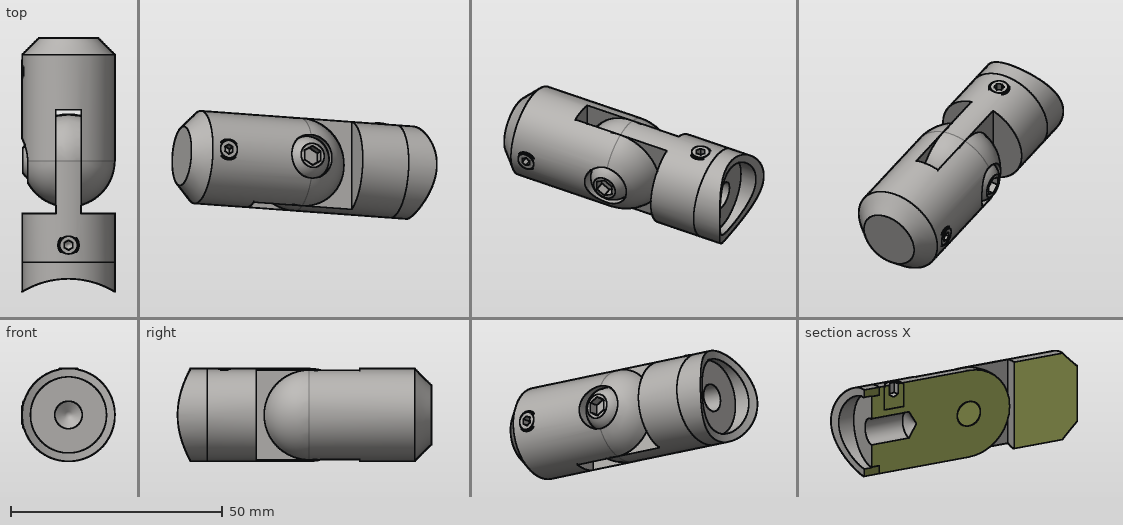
import cadquery as cq
import math


body_radius = 11.0
body_diameter = 2 * body_radius
tongue_thickness = 6.0

fork_length = 29.0
fork_chamfer = 4.0
fork_slot_bottom = 12.0
fork_set_screw_y = 21.0

tongue_shoulder_y = -12.5
tongue_end_y = -24.0
tongue_set_screw_y = -20.0
spigot_radius = 9.0
spigot_length = 2.0
spigot_end_y = tongue_end_y - spigot_length

tube_radius = 21.2
saddle_thickness = 4.0
tube_axis_y = tongue_end_y - saddle_thickness - tube_radius
saddle_tip_y = tube_axis_y + math.sqrt(tube_radius**2 - body_radius**2)

axial_hole_radius = 3.25
axial_hole_end_y = -16.0
drill_point_half_angle = math.radians(59)

pivot_head_radius = 5.25
pivot_head_flat_radius = 2.9
pivot_head_height = 3.3
pivot_head_face_x = -10.85
pivot_head_seat_x = pivot_head_face_x + pivot_head_height
pivot_shank_radius = 3.0
pivot_shank_length = 16.0
pivot_socket_width = 4.0
pivot_socket_depth = 2.5

set_screw_radius = 2.5
set_screw_face_radius = 2.1
set_screw_chamfer = set_screw_radius - set_screw_face_radius
set_screw_length = 6.0
set_screw_socket_width = 2.0
set_screw_socket_depth = 2.5


def corner_diameter(width_across_flats):
    return width_across_flats / math.cos(math.pi / 6)


def y_cylinder(radius, y_start, y_end):
    """Cylinder on the Y axis, from the higher y_start down to y_end."""
    return cq.Workplane("XZ", origin=(0, y_start, 0)).circle(radius).extrude(y_start - y_end)


def drill_point_depth(radius):
    return radius / math.tan(drill_point_half_angle)


def place_on_tongue(shape):
    """Moves a shape made along Z, with its outer face at Z = 0, onto the tongue's +Z side."""
    turned = shape.rotate((0, 0, 0), (0, 0, 1), 90)
    return turned.translate((0, tongue_set_screw_y, body_radius))


def place_on_fork(shape):
    """Moves a shape made along Z, with its outer face at Z = 0, onto the fork's -X side."""
    turned = shape.rotate((0, 0, 0), (0, 1, 0), -90)
    return turned.translate((-body_radius, fork_set_screw_y, 0))


def place_on_pivot(shape):
    """Turns a shape made along Z, with its head seat at Z = 0, so its head faces -X at the pivot."""
    turned = shape.rotate((0, 0, 0), (0, 1, 0), -90)
    return turned.translate((pivot_head_seat_x, 0, 0))


def make_set_screw_blank():
    return (
        cq.Workplane("XY")
        .circle(set_screw_radius)
        .extrude(-set_screw_length)
        .faces(">Z")
        .chamfer(set_screw_chamfer)
    )


def make_set_screw():
    """Set screw with a hexagon socket that ends in a drill point."""
    corner_radius = corner_diameter(set_screw_socket_width) / 2
    socket_tip_depth = set_screw_socket_depth + drill_point_depth(corner_radius)
    hexagon = cq.Workplane("XY").polygon(6, 2 * corner_radius).extrude(-socket_tip_depth)
    pointed_drill = (
        cq.Workplane("XZ")
        .lineTo(set_screw_radius, 0)
        .lineTo(set_screw_radius, drill_point_depth(set_screw_radius) - socket_tip_depth)
        .lineTo(0, -socket_tip_depth)
        .close()
        .revolve(360, (0, 0, 0), (0, 1, 0))
    )
    return make_set_screw_blank().cut(hexagon.intersect(pointed_drill))


def make_pivot_screw():
    """Button head screw with a spherical dome, a flat top and a hexagon socket."""
    sphere_centre_z = (
        pivot_head_flat_radius**2 + pivot_head_height**2 - pivot_head_radius**2
    ) / (2 * pivot_head_height)
    dome_radius = math.hypot(pivot_head_radius, sphere_centre_z)
    dome_mid_z = pivot_head_height / 2
    dome_mid_radius = math.sqrt(dome_radius**2 - (dome_mid_z - sphere_centre_z) ** 2)
    screw = (
        cq.Workplane("XZ")
        .moveTo(0, pivot_head_height)
        .lineTo(pivot_head_flat_radius, pivot_head_height)
        .threePointArc((dome_mid_radius, dome_mid_z), (pivot_head_radius, 0))
        .lineTo(pivot_shank_radius, 0)
        .lineTo(pivot_shank_radius, -pivot_shank_length)
        .lineTo(0, -pivot_shank_length)
        .close()
        .revolve(360, (0, 0, 0), (0, 1, 0))
    )
    socket = (
        cq.Workplane("XY", origin=(0, 0, pivot_head_height))
        .polygon(6, corner_diameter(pivot_socket_width))
        .extrude(-pivot_socket_depth)
    )
    return place_on_pivot(screw.cut(socket))


def make_pivot_hole():
    """Counterbored clearance for the pivot screw, open at the head side."""
    shank = cq.Workplane("XY").circle(pivot_shank_radius).extrude(-pivot_shank_length)
    counterbore = cq.Workplane("XY").circle(pivot_head_radius).extrude(body_radius)
    return place_on_pivot(shank.union(counterbore))


def make_axial_hole():
    """Drilled hole along Y that enters through the spigot and ends in a drill point."""
    return (
        cq.Workplane("XY")
        .moveTo(0, spigot_end_y)
        .lineTo(axial_hole_radius, spigot_end_y)
        .lineTo(axial_hole_radius, axial_hole_end_y)
        .lineTo(0, axial_hole_end_y + drill_point_depth(axial_hole_radius))
        .close()
        .revolve(360, (0, 0, 0), (0, 1, 0))
    )


def make_fork():
    """Round bar with a chamfered end and a slotted ball end."""
    bar = y_cylinder(body_radius, fork_length, 0).faces(">Y").chamfer(fork_chamfer)
    ball = cq.Workplane("XY").sphere(body_radius)
    slot_length = fork_slot_bottom + body_radius
    slot = cq.Workplane("XY").box(tongue_thickness, slot_length, body_diameter)
    slot = slot.translate((0, fork_slot_bottom - slot_length / 2, 0))
    fork = bar.union(ball).cut(slot).cut(make_pivot_hole())
    return fork.cut(place_on_fork(make_set_screw_blank()))


def make_tongue():
    """Round base with a spigot at one end and a flat, ball-ended blade that fits the fork's slot."""
    base = y_cylinder(body_radius, tongue_shoulder_y, tongue_end_y)
    blade_round = y_cylinder(body_radius, 0, tongue_shoulder_y).union(cq.Workplane("XY").sphere(body_radius))
    blade_slab = cq.Workplane("XY").box(tongue_thickness, 2 * fork_length, body_diameter)
    spigot = y_cylinder(spigot_radius, tongue_end_y, spigot_end_y)
    tongue = base.union(blade_round.intersect(blade_slab)).union(spigot)
    tongue = tongue.cut(make_pivot_hole()).cut(make_axial_hole())
    return tongue.cut(place_on_tongue(make_set_screw_blank()))


def make_saddle():
    """Ring that fits over the tongue's spigot, with its free end hollowed to sit on a tube along Z."""
    blank = y_cylinder(body_radius, tongue_end_y, saddle_tip_y)
    tube = (
        cq.Workplane("XY", origin=(0, tube_axis_y, -body_radius))
        .circle(tube_radius)
        .extrude(body_diameter)
    )
    bore = y_cylinder(spigot_radius, tongue_end_y, saddle_tip_y)
    return blank.cut(tube).cut(bore)


fork = make_fork()
tongue = make_tongue()
saddle = make_saddle()
pivot_screw = make_pivot_screw()
set_screws = [place(make_set_screw()) for place in (place_on_tongue, place_on_fork)]

bodies = [fork, tongue, saddle, pivot_screw, *set_screws]
result = cq.Compound.makeCompound([body.solids().val() for body in bodies])